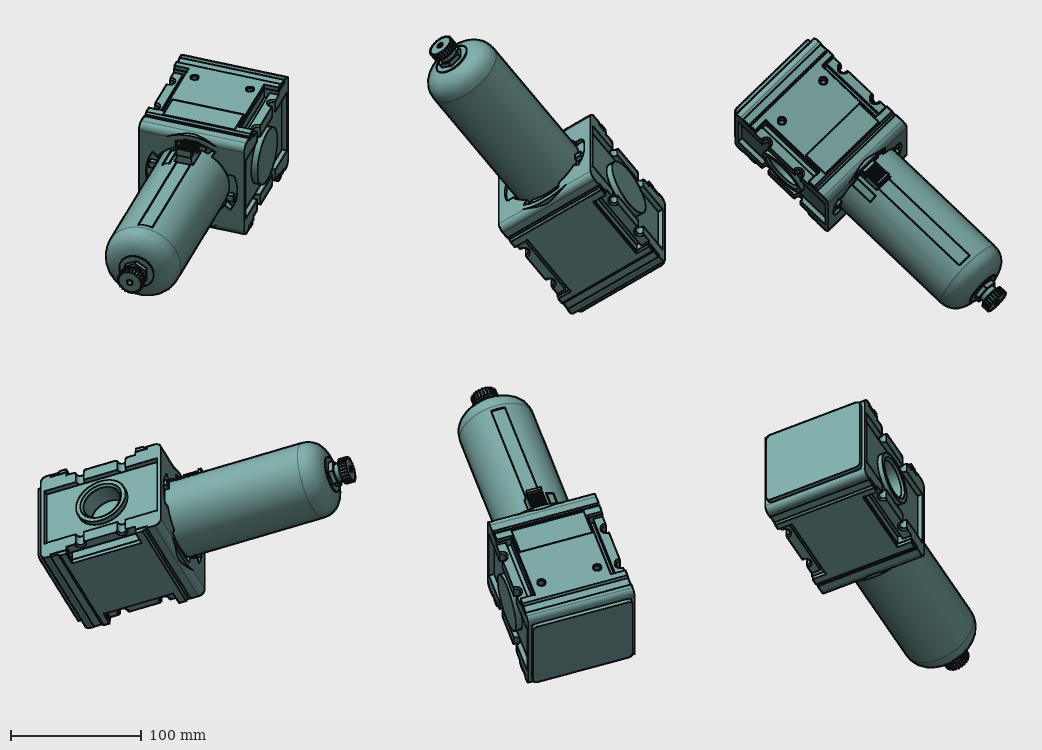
import cadquery as cq
import math


HOUSING_WIDTH = 85.5
HOUSING_DEPTH = 99.9
HOUSING_HEIGHT = 85.5
EDGE_RADIUS = 5.3
FACE_BOSS_RADIUS = 42.3
FACE_BOSS_LENGTH = 9.7

PAD_TOP = 44.5
PAD_LEDGE = 43.0
PAD_END_INSET = 0.5
PAD_STEP_HEIGHT = 40.8
PAD_STEP_FRONT = 11.7
PAD_STEP_BACK = 91.9
PAD_FOOT_FRONT = 13.5
PAD_FOOT_BACK = 85.5
PAD_SLOPE = 1.7

PLATE_WIDTH = 80.0
PLATE_HEIGHT = 73.9
PLATE_THICKNESS = 3.2
PLATE_CORNER_RADIUS = 3.6

NOTCH_FRONT = 21.5
NOTCH_BACK = 78.7
NOTCH_WIDTH = 12.0
NOTCH_FLOOR = 37.7
NOTCH_STEP = 0.2
HOOK_GROOVE_WIDTH = 4.4
HOOK_GROOVE_FLOOR = 32.8
CLAMP_HOLE_DIAMETER = 6.5
CLAMP_HOLE_SINK_DIAMETER = 9.2
CLAMP_HOLE_INSET = 0.7
CLAMP_HOLE_PLACES = (32.8, 67.3)

PANEL_DEPTH = 4.1
PANEL_MARGIN = 3.2
PANEL_HEIGHT = 55.0
PORT_BOSS_DIAMETER = 41.0
PORT_DIAMETER = 30.4
PORT_MOUTH_DIAMETER = 34.0
PORT_DEPTH = 17.7
COVER_DIAMETER = 45.0
COVER_PROJECTION = 1.0

SCREW_SPACING = 45.0
SCREW_PLACE = 69.7
SCREW_HOLE_DIAMETER = 4.9
SCREW_SINK_DIAMETER = 6.5
SCREW_HOLE_DEPTH = 7.3
LABEL_WIDTH = 58.0
LABEL_FRONT = 16.5
LABEL_BACK = 37.5
LABEL_DEPTH = 0.5

MOUTH_RADIUS = 31.5
MOUTH_DEPTH = 19.5
BAYONET_COUNT = 4
BAYONET_RADIUS = 37.2
BAYONET_SIDE = 13.1
BAYONET_END_ANGLE = 238.5
BAYONET_DEPTH = 9.7
BAYONET_CORNER_RADIUS = 2.0

BOWL_RADIUS = 30.0
BOWL_STRAIGHT = 108.0
BOWL_LENGTH = 124.7
SHOULDER_X = 25.5
SHOULDER_LENGTH = 119.0
DOME_END_DIRECTION = (-1, -0.1)
BOWL_END_DIAMETER = 28.0
BOWL_END_RING_HEIGHT = 0.7
LUG_RECESS = 2.5
LUG_END_OFFSET = 14.5
STOP_INNER = 29.0
STOP_OUTER = 34.3
STOP_LOW = 5.3
STOP_HIGH = 10.7
STOP_PROJECTION = 1.2
GROOVE_WIDTH = 11.2
GROOVE_END = 104.5
GROOVE_FLOOR = 28.5
MARK_WIDTH = 6.5
MARK_ANGLE = 28.0
MARK_END = 19.7
MARK_FLOOR = 29.0

LATCH_LENGTH = 17.5
LATCH_WIDTH = 11.7
GUIDE_TOP = 35.0
GUIDE_FOOT_WIDTH = 15.0
GUIDE_FLARE = 0.5
GUIDE_FLARE_HEIGHT = 31.5
GUIDE_SLOT_FRONT = 5.0
GUIDE_SLOT_BACK = 1.5
GUIDE_SLOT_BOTTOM = 31.0
GUIDE_SLOT_TOP = 33.3
GUIDE_SLOT_DEPTH = 0.7
LATCH_TOP = 38.0
LATCH_LIP_TOP = 41.0
LATCH_LIP_THICKNESS = 2.2
TONGUE_TOP = 36.5
WING_SPAN = 23.3
WING_BOTTOM = 30.5
WING_TOP = 34.7
WING_CORNER_RADIUS = 1.0
RIB_COUNT = 6
RIB_PITCH = 2.0
RIB_START = 3.5
RIB_THICKNESS = 1.0
RIB_HEIGHT = 1.5

NUT_FLATS = 17.3
NUT_HEIGHT = 3.6
NECK_DIAMETER = 14.0
NECK_LENGTH = 4.1
KNOB_GAP = 0.7
KNOB_GAP_DIAMETER = 12.2
KNOB_LENGTH = 6.3
KNOB_DIAMETER = 20.0
KNURL_COUNT = 24
KNURL_DIAMETER = 2.0
SPOUT_DIAMETER = 4.9
SPOUT_HOLE_DIAMETER = 4.0
SPOUT_PROJECTION = 0.5
SPOUT_HOLE_DEPTH = 4.9


def box(x_range, y_range, z_range):
    """Box between the given limits along each axis."""
    (x0, x1), (y0, y1), (z0, z1) = x_range, y_range, z_range
    return cq.Workplane("XY").box(x1 - x0, y1 - y0, z1 - z0, centered=False).translate((x0, y0, z0))


def disc(radius, y0, y1):
    """Round bar about the bowl axis between two places along Y."""
    return cq.Workplane("XZ", origin=(0, y1, 0)).circle(radius).extrude(y1 - y0)


def side_bar(diameter, x0, x1):
    """Round bar along X about the port axis."""
    plane = cq.Workplane("YZ", origin=(x0, HOUSING_DEPTH / 2, 0))
    return plane.circle(diameter / 2).extrude(x1 - x0)


def sunk_hole(x, y, top, bottom, diameter, sink_diameter):
    """Cutter for a vertical hole with a 45 degree countersink at the top."""
    sink_depth = (sink_diameter - diameter) / 2
    profile = [
        (0, bottom),
        (diameter / 2, bottom),
        (diameter / 2, top - sink_depth),
        (sink_diameter / 2, top),
        (0, top),
    ]
    return cq.Workplane("XZ").polyline(profile).close().revolve(360, (0, 0), (0, 1)).translate((x, y, 0))


def above_and_below(shape):
    """The shape together with its mirror image below the bowl axis."""
    return shape.union(shape.mirror("XY"))


def both_sides(shape):
    """The shape together with its mirror image across the YZ plane."""
    return shape.union(shape.mirror("YZ"))




def housing_block():
    half_width = HOUSING_WIDTH / 2
    block = box((-half_width, half_width), (0, HOUSING_DEPTH), (-HOUSING_HEIGHT / 2, HOUSING_HEIGHT / 2))
    block = block.edges("|X").fillet(EDGE_RADIUS)
    return block.union(disc(FACE_BOSS_RADIUS, 0, FACE_BOSS_LENGTH))


def end_inset():
    """Strips that narrow the block slightly at the upper pad."""
    half_width = HOUSING_WIDTH / 2
    strip = box(
        (half_width - PAD_END_INSET, half_width),
        (PAD_STEP_FRONT, PAD_STEP_BACK),
        (PAD_STEP_HEIGHT, PAD_TOP),
    )
    return both_sides(strip)


def pad():
    profile = [
        (PAD_STEP_FRONT, PAD_STEP_HEIGHT),
        (PAD_STEP_FRONT, PAD_LEDGE),
        (PAD_FOOT_FRONT, PAD_LEDGE),
        (PAD_FOOT_FRONT + PAD_SLOPE, PAD_TOP),
        (PAD_FOOT_BACK - PAD_SLOPE, PAD_TOP),
        (PAD_FOOT_BACK, PAD_LEDGE),
        (PAD_STEP_BACK, PAD_LEDGE),
        (PAD_STEP_BACK, PAD_STEP_HEIGHT),
    ]
    width = HOUSING_WIDTH - 2 * PAD_END_INSET
    return cq.Workplane("YZ", origin=(-width / 2, 0, 0)).polyline(profile).close().extrude(width)


def back_plate():
    plane = cq.Workplane("XZ", origin=(0, HOUSING_DEPTH + PLATE_THICKNESS, 0))
    plate = plane.rect(PLATE_WIDTH, PLATE_HEIGHT).extrude(PLATE_THICKNESS)
    return plate.edges("|Y").fillet(PLATE_CORNER_RADIUS)


def clamp_notch():
    """Notch in the upper +X corner, slightly wider at the pad, with its hook groove and clamp holes."""
    side = HOUSING_WIDTH / 2
    inner = side - NOTCH_WIDTH
    length = (NOTCH_FRONT, NOTCH_BACK)
    notch = box((inner, side), length, (NOTCH_FLOOR, PAD_TOP))
    notch = notch.union(box((inner, inner + HOOK_GROOVE_WIDTH), length, (HOOK_GROOVE_FLOOR, PAD_TOP)))
    stepped_length = (NOTCH_FRONT - NOTCH_STEP, NOTCH_BACK + NOTCH_STEP)
    notch = notch.union(box((inner - NOTCH_STEP, side), stepped_length, (PAD_STEP_HEIGHT, PAD_TOP)))
    for place in CLAMP_HOLE_PLACES:
        hole = sunk_hole(
            side - CLAMP_HOLE_INSET,
            place,
            NOTCH_FLOOR,
            PANEL_HEIGHT / 2,
            CLAMP_HOLE_DIAMETER,
            CLAMP_HOLE_SINK_DIAMETER,
        )
        notch = notch.union(hole)
    return notch


def side_panel():
    """Recess in the +X side around the port boss."""
    side = HOUSING_WIDTH / 2
    recess = box(
        (side - PANEL_DEPTH, side),
        (PANEL_MARGIN, HOUSING_DEPTH - PANEL_MARGIN),
        (-PANEL_HEIGHT / 2, PANEL_HEIGHT / 2),
    )
    return recess.cut(side_bar(PORT_BOSS_DIAMETER, side - PANEL_DEPTH, side))


def port():
    """Cutter for the blind port in the -X side, with its chamfered mouth."""
    bore = sunk_hole(0, 0, 0, -PORT_DEPTH, PORT_DIAMETER, PORT_MOUTH_DIAMETER)
    bore = bore.rotate((0, 0, 0), (0, 1, 0), -90)
    return bore.translate((-HOUSING_WIDTH / 2, HOUSING_DEPTH / 2, 0))


def port_cover():
    """Round cover that stands out from the +X side."""
    side = HOUSING_WIDTH / 2
    return side_bar(COVER_DIAMETER, side - PANEL_DEPTH, side + COVER_PROJECTION)


def top_details():
    label = box((-LABEL_WIDTH / 2, LABEL_WIDTH / 2), (LABEL_FRONT, LABEL_BACK), (PAD_TOP - LABEL_DEPTH, PAD_TOP))
    hole = sunk_hole(
        SCREW_SPACING / 2,
        SCREW_PLACE,
        PAD_TOP,
        PAD_TOP - SCREW_HOLE_DEPTH,
        SCREW_HOLE_DIAMETER,
        SCREW_SINK_DIAMETER,
    )
    return label.union(both_sides(hole))


def bayonet_sector(depth):
    """Lowest of the bayonet sectors: upright on its +X side, radial on the other."""
    end = math.radians(BAYONET_END_ANGLE)
    outer_side = (BAYONET_SIDE, -math.sqrt(BAYONET_RADIUS**2 - BAYONET_SIDE**2))
    outer_end = (BAYONET_RADIUS * math.cos(end), BAYONET_RADIUS * math.sin(end))
    sector = (
        cq.Workplane("XZ", origin=(0, depth, 0))
        .moveTo(0, 0)
        .lineTo(BAYONET_SIDE, 0)
        .lineTo(*outer_side)
        .threePointArc((0, -BAYONET_RADIUS), outer_end)
        .close()
        .extrude(depth)
    )
    return sector.edges("|Y").edges(">X").edges("<Z").fillet(BAYONET_CORNER_RADIUS)


def around_axis(shape):
    """Equally spaced copies of the shape about the bowl axis."""
    ring = shape
    for index in range(1, BAYONET_COUNT):
        ring = ring.union(shape.rotate((0, 0, 0), (0, 1, 0), index * 360 / BAYONET_COUNT))
    return ring


def bowl_mouth():
    return disc(MOUTH_RADIUS, 0, MOUTH_DEPTH).union(around_axis(bayonet_sector(BAYONET_DEPTH)))


def make_housing():
    body = housing_block()
    body = body.cut(above_and_below(end_inset()))
    body = body.union(above_and_below(pad()))
    body = body.union(back_plate())
    body = body.cut(above_and_below(both_sides(clamp_notch())))
    body = body.cut(both_sides(side_panel()))
    body = body.cut(port())
    body = body.union(port_cover())
    body = body.cut(top_details())
    return body.cut(bowl_mouth())




def bowl_shell():
    end_radius = BOWL_END_DIAMETER / 2
    ring_start = -BOWL_LENGTH + BOWL_END_RING_HEIGHT
    dome = [(SHOULDER_X, -SHOULDER_LENGTH), (end_radius, ring_start)]
    profile = (
        cq.Workplane("XY")
        .moveTo(0, MOUTH_DEPTH)
        .lineTo(BOWL_RADIUS, MOUTH_DEPTH)
        .lineTo(BOWL_RADIUS, -BOWL_STRAIGHT)
        .spline(dome, tangents=[(0, -1), DOME_END_DIRECTION], includeCurrent=True)
        .lineTo(end_radius, -BOWL_LENGTH)
        .lineTo(0, -BOWL_LENGTH)
        .close()
    )
    return profile.revolve(360, (0, 0), (0, 1))


def bowl_lugs():
    """Bayonet lugs, each cut off at 45 degrees at its radial end and set back from the housing face."""
    reach = 2 * BAYONET_RADIUS
    lug = bayonet_sector(BAYONET_DEPTH)
    set_back = box((-reach, reach), (0, LUG_RECESS), (-reach, reach))
    free_end = box((-reach, reach), (0, BAYONET_DEPTH), (0, reach)).rotate((0, 0, 0), (0, 1, 0), -45)
    lug = lug.cut(set_back).cut(free_end.translate((0, 0, -LUG_END_OFFSET)))
    return around_axis(lug)


def stops():
    stop = box((-STOP_OUTER, -STOP_INNER), (-STOP_PROJECTION, BAYONET_DEPTH), (STOP_LOW, STOP_HIGH))
    return stop.union(stop.rotate((0, 0, 0), (0, 1, 0), 180))


def guide():
    """Upright guide for the latch, with hollow sides that flare out to the bowl."""
    half = LATCH_WIDTH / 2
    foot = GUIDE_FOOT_WIDTH / 2
    foot_height = math.sqrt(BOWL_RADIUS**2 - foot**2)
    flare = half + GUIDE_FLARE
    section = (
        cq.Workplane("XZ")
        .moveTo(0, 0)
        .lineTo(foot, foot_height)
        .threePointArc((flare, GUIDE_FLARE_HEIGHT), (half, GUIDE_TOP))
        .lineTo(-half, GUIDE_TOP)
        .threePointArc((-flare, GUIDE_FLARE_HEIGHT), (-foot, foot_height))
        .close()
    )
    slot = box(
        (half - GUIDE_SLOT_DEPTH, foot),
        (-GUIDE_SLOT_FRONT, -GUIDE_SLOT_BACK),
        (GUIDE_SLOT_BOTTOM, GUIDE_SLOT_TOP),
    )
    return section.extrude(LATCH_LENGTH).cut(both_sides(slot))


def top_groove():
    """Long flat-bottomed groove that starts at the front of the guide."""
    half = GROOVE_WIDTH / 2
    return box((-half, half), (-GROOVE_END, -LATCH_LENGTH), (GROOVE_FLOOR, BOWL_RADIUS))


def index_mark():
    """Short flat-bottomed recess to the left of the latch."""
    half = MARK_WIDTH / 2
    mark = box((-half, half), (-MARK_END, 0), (MARK_FLOOR, BOWL_RADIUS))
    return mark.rotate((0, 0, 0), (0, 1, 0), -MARK_ANGLE)


def make_bowl():
    body = bowl_shell().union(bowl_lugs()).union(stops()).union(guide())
    return body.cut(top_groove()).cut(index_mark())




def make_latch():
    """Ribbed slide on the guide, with a winged tongue that enters the bayonet opening."""
    half = LATCH_WIDTH / 2
    body = box((-half, half), (-LATCH_LENGTH, 0), (GUIDE_TOP, LATCH_TOP))
    lip = box((-half, half), (-LATCH_LENGTH, LATCH_LIP_THICKNESS - LATCH_LENGTH), (GUIDE_TOP, LATCH_LIP_TOP))
    tongue = box((-half, half), (0, LUG_RECESS), (WING_BOTTOM, TONGUE_TOP))
    wings = box((-WING_SPAN / 2, WING_SPAN / 2), (0, LUG_RECESS), (WING_BOTTOM, WING_TOP))
    wings = wings.edges("|Y").fillet(WING_CORNER_RADIUS)
    body = body.union(lip).union(tongue).union(wings)
    for index in range(RIB_COUNT):
        front = -RIB_START - index * RIB_PITCH
        rib = box((-half, half), (front - RIB_THICKNESS, front), (GUIDE_TOP, LATCH_TOP + RIB_HEIGHT))
        body = body.union(rib)
    return body




def knob(start):
    """Knurled knob that runs from the given place toward -Y."""
    body = disc(KNOB_DIAMETER / 2, start - KNOB_LENGTH, start)
    knurls = (
        cq.Workplane("XZ", origin=(0, start, 0))
        .polarArray(KNOB_DIAMETER / 2, 0, 360, KNURL_COUNT)
        .circle(KNURL_DIAMETER / 2)
        .extrude(KNOB_LENGTH)
    )
    return body.cut(knurls)


def make_drain():
    nut_end = -BOWL_LENGTH - NUT_HEIGHT
    neck_end = nut_end - NECK_LENGTH
    knob_start = neck_end - KNOB_GAP
    knob_end = knob_start - KNOB_LENGTH
    spout_end = knob_end - SPOUT_PROJECTION
    corner_diameter = NUT_FLATS / math.cos(math.pi / 6)
    nut = cq.Workplane("XZ", origin=(0, -BOWL_LENGTH, 0)).polygon(6, corner_diameter).extrude(NUT_HEIGHT)
    body = nut.rotate((0, 0, 0), (0, 1, 0), 90)
    body = body.union(disc(NECK_DIAMETER / 2, neck_end, nut_end))
    body = body.union(disc(KNOB_GAP_DIAMETER / 2, knob_start, neck_end))
    body = body.union(knob(knob_start))
    body = body.union(disc(SPOUT_DIAMETER / 2, spout_end, knob_end))
    return body.cut(disc(SPOUT_HOLE_DIAMETER / 2, spout_end, spout_end + SPOUT_HOLE_DEPTH))


housing = make_housing()
bowl = make_bowl()
latch = make_latch()
drain = make_drain()

result = cq.Compound.makeCompound([housing.val(), bowl.val(), latch.val(), drain.val()])